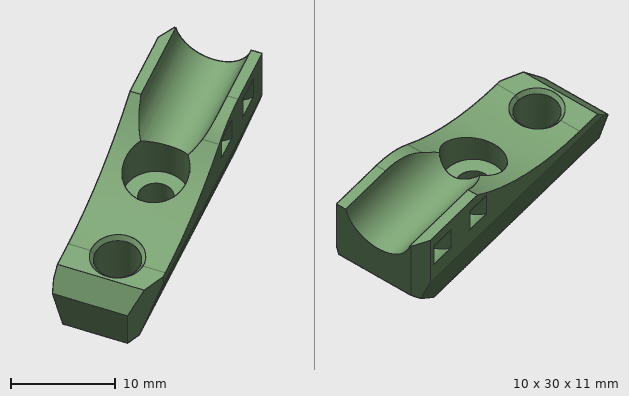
import cadquery as cq
import math

WIDTH = 10.0
LENGTH = 30.0
HEIGHT = 11.0
MID_X = WIDTH / 2

DECK_HEIGHT = 6.0
RISE_START_Y = 4.8
RISE_END_Y = 20.9
RISE_RUN = RISE_END_Y - RISE_START_Y
RISE_STEP = HEIGHT - DECK_HEIGHT
RISE_RADIUS = (RISE_RUN**2 + RISE_STEP**2) / (2 * RISE_STEP)
CREST_RADIUS = 10.0

FRONT_TOP_BEVEL = 2.0
REAR_BOTTOM_BEVEL = 4.0
FRONT_CORNER_WIDTH = 2.0
FRONT_CORNER_ANGLE = 25.0
REAR_CORNER_WIDTH = 1.0
REAR_CORNER_ANGLE = 30.0

LEAN_HEIGHT = 5.0
LEAN_ANGLE = 15.0

CRADLE_RADIUS = 4.0
CRADLE_AXIS_Z = HEIGHT + 1.0

SLOT_INNER_RADIUS = 5.5
SLOT_OUTER_RADIUS = 7.0
SLOT_WIDTH = 2.65
SLOT_CENTERS_Y = (20.75, 26.35)

SCREW_Y = 15.0
SCREW_DIAMETER = 3.5
SCREW_HEAD_DIAMETER = 6.5
SCREW_SEAT_Z = 4.0

FRONT_HOLE_Y = 5.0
FRONT_HOLE_DIAMETER = 4.6
FRONT_HOLE_BEVEL = 0.4


def rise_point(y):
    """Point of the concave rise at a given Y."""
    return (y, DECK_HEIGHT + RISE_RADIUS - math.sqrt(RISE_RADIUS**2 - (y - RISE_START_Y) ** 2))


def side_half(x_start, rounded_crest):
    """Half-width slab with the side outline, its crest sharp or rounded."""
    outline = (
        cq.Workplane("YZ", origin=(x_start, 0, 0))
        .moveTo(0, 0)
        .lineTo(0, DECK_HEIGHT - FRONT_TOP_BEVEL)
        .lineTo(FRONT_TOP_BEVEL, DECK_HEIGHT)
        .lineTo(RISE_START_Y, DECK_HEIGHT)
    )
    if rounded_crest:
        crest_z = HEIGHT - CREST_RADIUS
        centers_drop = DECK_HEIGHT + RISE_RADIUS - crest_z
        crest_y = RISE_START_Y + math.sqrt((RISE_RADIUS + CREST_RADIUS) ** 2 - centers_drop**2)
        join_y = RISE_START_Y + (crest_y - RISE_START_Y) * RISE_RADIUS / (RISE_RADIUS + CREST_RADIUS)
        half_turn = math.asin((crest_y - join_y) / CREST_RADIUS) / 2
        crest_middle = (
            crest_y - CREST_RADIUS * math.sin(half_turn),
            crest_z + CREST_RADIUS * math.cos(half_turn),
        )
        outline = outline.threePointArc(rise_point((RISE_START_Y + join_y) / 2), rise_point(join_y))
        outline = outline.threePointArc(crest_middle, (crest_y, HEIGHT))
    else:
        outline = outline.threePointArc(rise_point(RISE_START_Y + RISE_RUN / 2), (RISE_END_Y, HEIGHT))
    return (
        outline.lineTo(LENGTH, HEIGHT)
        .lineTo(LENGTH, REAR_BOTTOM_BEVEL)
        .lineTo(LENGTH - REAR_BOTTOM_BEVEL, 0)
        .close()
        .extrude(MID_X)
    )


def plan_envelope():
    """Prism with the plan outline, bevelled at two opposite corners."""
    front_run = FRONT_CORNER_WIDTH / math.tan(math.radians(FRONT_CORNER_ANGLE))
    rear_run = REAR_CORNER_WIDTH / math.tan(math.radians(REAR_CORNER_ANGLE))
    return (
        cq.Workplane("XY")
        .polyline([
            (0, 0),
            (WIDTH - FRONT_CORNER_WIDTH, 0),
            (WIDTH, front_run),
            (WIDTH, LENGTH),
            (REAR_CORNER_WIDTH, LENGTH),
            (0, LENGTH - rear_run),
        ])
        .close()
        .extrude(HEIGHT)
    )


def cross_section_envelope():
    """Prism with the end outline, its lower sides leaning inward."""
    inset = LEAN_HEIGHT * math.tan(math.radians(LEAN_ANGLE))
    return (
        cq.Workplane("XZ")
        .polyline([
            (inset, 0),
            (WIDTH - inset, 0),
            (WIDTH, LEAN_HEIGHT),
            (WIDTH, HEIGHT),
            (0, HEIGHT),
            (0, LEAN_HEIGHT),
        ])
        .close()
        .extrude(-LENGTH)
    )


def make_body():
    left = side_half(0, rounded_crest=False)
    right = side_half(MID_X, rounded_crest=True)
    return left.union(right).intersect(plan_envelope()).intersect(cross_section_envelope())


def bevel_front_hole(body):
    """Bevel the mouth of the front hole where it meets the deck and the rise."""
    hole_radius = FRONT_HOLE_DIAMETER / 2
    mouth = cq.selectors.BoxSelector(
        (MID_X - hole_radius - FRONT_HOLE_BEVEL, FRONT_HOLE_Y - hole_radius - FRONT_HOLE_BEVEL,
         DECK_HEIGHT - FRONT_HOLE_BEVEL),
        (MID_X + hole_radius + FRONT_HOLE_BEVEL, FRONT_HOLE_Y + hole_radius + FRONT_HOLE_BEVEL,
         DECK_HEIGHT + FRONT_HOLE_BEVEL),
        boundingbox=True,
    )
    return body.edges(mouth).chamfer(FRONT_HOLE_BEVEL)


def vertical_cylinder(y, diameter, z_start):
    """Cylinder on the centre plane from z_start up to the full height."""
    return cq.Workplane("XY", origin=(MID_X, y, z_start)).circle(diameter / 2).extrude(HEIGHT - z_start)


def cradle_cutter():
    return cq.Workplane("XZ").center(MID_X, CRADLE_AXIS_Z).circle(CRADLE_RADIUS).extrude(-LENGTH)


def slot_cutter(y):
    """Ring about the cradle axis, leaving a curved passage below the cradle."""
    return (
        cq.Workplane("XZ", origin=(MID_X, y - SLOT_WIDTH / 2, CRADLE_AXIS_Z))
        .circle(SLOT_OUTER_RADIUS)
        .circle(SLOT_INNER_RADIUS)
        .extrude(-SLOT_WIDTH)
    )


body = make_body()
body = body.cut(vertical_cylinder(FRONT_HOLE_Y, FRONT_HOLE_DIAMETER, 0))
body = bevel_front_hole(body)
body = body.cut(cradle_cutter())
body = body.cut(vertical_cylinder(SCREW_Y, SCREW_DIAMETER, 0))
body = body.cut(vertical_cylinder(SCREW_Y, SCREW_HEAD_DIAMETER, SCREW_SEAT_Z))
for slot_y in SLOT_CENTERS_Y:
    body = body.cut(slot_cutter(slot_y))

result = body